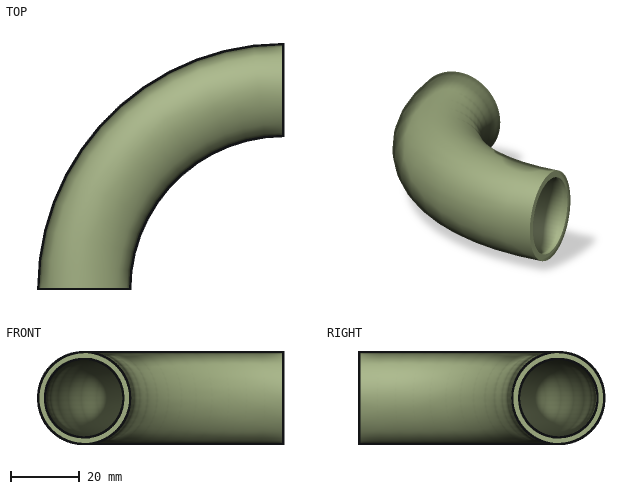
import cadquery as cq

overall_length = 71.45
outer_diameter = 26.9
wall_thickness = 2.0
bend_angle = 90.0

outer_radius = outer_diameter / 2
inner_radius = outer_radius - wall_thickness
bend_radius = overall_length - outer_radius

ring_section = (
    cq.Workplane("XZ")
    .center(-bend_radius, 0)
    .circle(outer_radius)
    .circle(inner_radius)
)

axis_start = (bend_radius, 0)
axis_end = (bend_radius, -1)
result = ring_section.revolve(bend_angle, axis_start, axis_end)